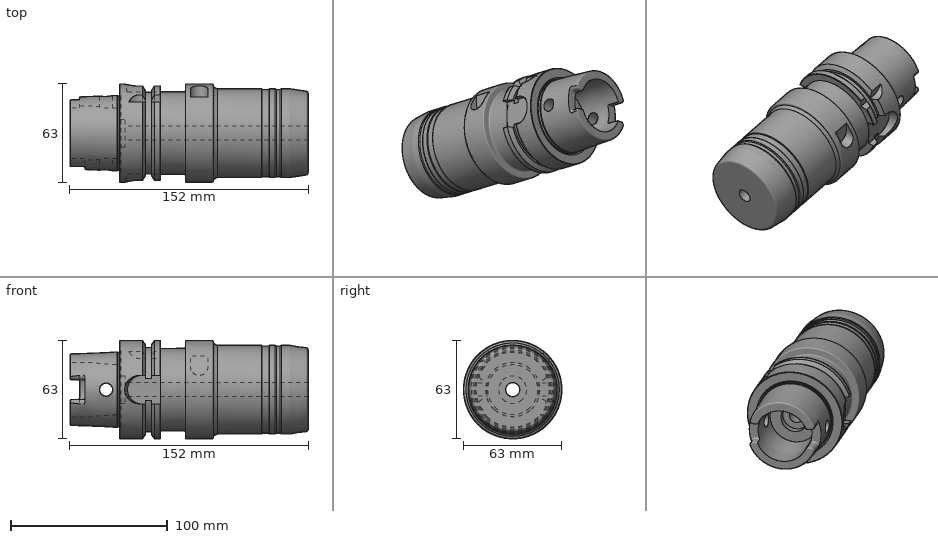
import cadquery as cq
import math

LENGTH = 152.0

SHANK_REAR_RADIUS = 23.0
SHANK_FRONT_RADIUS = 24.2
SHANK_END = 29.8
REAR_ROUNDING = 0.9
NECK_RADIUS = 23.9
NECK_SLOPE_LENGTH = 0.9
FACE_RECESS_INNER_RADIUS = 24.5
FACE_RECESS_OUTER_RADIUS = 25.4
FACE_RECESS_DEPTH = 0.8

FLANGE_RADIUS = 31.5
FLANGE_START = 31.6
FLANGE_END = 57.8
FLANGE_BREAK = 0.3
GROOVE_START = 48.2
GROOVE_END = 51.8
GROOVE_RADIUS = 27.0
GROOVE_BEVEL = 2.0
GROOVE_WALL_RADIUS = 28.5

WAIST_RADIUS = 26.5
WAIST_FILLET = 0.8
COLLAR_START = 73.5
COLLAR_END = 91.7
COLLAR_REAR_ROUNDING = 0.8
COLLAR_FRONT_ROUNDING = 1.4
COLLAR_STEP_RADIUS = 29.8
COLLAR_STEP_LENGTH = 0.9
NOSE_FILLET_RADIUS = 29.0
NOSE_FILLET_LENGTH = 1.4
NOSE_RADIUS = 28.5
NOSE_GROOVE_DEPTH = 0.5
NOSE_GROOVES = [(122.2, 127.2, 0.3), (130.9, 134.8, 0.8)]
NOSE_TAPER_START = 140.1
NOSE_END_RADIUS = 26.9
NOSE_ROUNDING = 1.8

BORE_RADIUS = 17.3
BORE_STRAIGHT_LENGTH = 12.6
BORE_BOTTOM_RADIUS = 16.0
BORE_DEPTH = 30.4
COUNTERBORE_RADIUS = 8.8
COUNTERBORE_DEPTH = 4.5
THROUGH_RADIUS = 4.4
CROSS_HOLE_X = 23.0
CROSS_HOLE_RADIUS = 4.1

SLOT_HALF_WIDTH = 6.2
SLOT_LIP_RADIUS = 2.5
SLOT_RIM_RADIUS = 23.3
SLOT_FLARE_LENGTH = 6.1
SLOT_FLOOR_FILLET = 1.2
FRONT_SLOT_DEPTH = 9.5
BACK_SLOT_DEPTH = 6.1

KEYWAY_FLOOR = 26.1
KEYWAY_HALF_WIDTH = 9.1
KEYWAY_FLOOR_CENTER_X = 45.8
KEYWAY_END_LEAN = 1.8

NOTCH_CENTER_X = 44.8
NOTCH_FLOOR_Y = 19.8
NOTCH_BOTTOM_Z = 19.8
NOTCH_RADIUS = 8.0
POCKET_CENTER_X = 82.4
POCKET_FLOOR_Y = 23.1
POCKET_RADIUS = 5.6
POCKET_BOTTOM_Z = 9.1

CLEARANCE = 7.6
EDGE_REACH = 0.2
HALF_CHORD = math.sqrt(0.5)


def rounded_corner(profile, start, corner, end):
    """Add a quarter arc from start to end that is convex towards the given square corner."""
    center = (start[0] + end[0] - corner[0], start[1] + end[1] - corner[1])
    middle = tuple(c + HALF_CHORD * ((s - c) + (e - c)) for s, e, c in zip(start, end, center))
    return profile.lineTo(*start).threePointArc(middle, end)


def body():
    """Solid of revolution with all outer steps and grooves."""
    p = cq.Workplane("XY")
    p = p.lineTo(0, SHANK_REAR_RADIUS)
    recess_bottom = FLANGE_START + FACE_RECESS_DEPTH
    p = p.lineTo(SHANK_END, SHANK_FRONT_RADIUS)
    p = p.lineTo(SHANK_END + NECK_SLOPE_LENGTH, NECK_RADIUS)
    p = p.lineTo(recess_bottom, NECK_RADIUS)
    p = p.lineTo(recess_bottom, FACE_RECESS_INNER_RADIUS)
    p = p.lineTo(FLANGE_START, FACE_RECESS_OUTER_RADIUS)

    p = p.lineTo(FLANGE_START, FLANGE_RADIUS - FLANGE_BREAK)
    p = p.lineTo(FLANGE_START + FLANGE_BREAK, FLANGE_RADIUS)
    p = p.lineTo(GROOVE_START - GROOVE_BEVEL, FLANGE_RADIUS)
    p = p.lineTo(GROOVE_START, GROOVE_WALL_RADIUS)
    p = p.lineTo(GROOVE_START, GROOVE_RADIUS)
    p = p.lineTo(GROOVE_END, GROOVE_RADIUS)
    p = p.lineTo(GROOVE_END, GROOVE_WALL_RADIUS)
    p = p.lineTo(GROOVE_END + GROOVE_BEVEL, FLANGE_RADIUS)
    p = p.lineTo(FLANGE_END - FLANGE_BREAK, FLANGE_RADIUS)
    p = p.lineTo(FLANGE_END, FLANGE_RADIUS - FLANGE_BREAK)

    p = p.lineTo(FLANGE_END, WAIST_RADIUS)
    p = rounded_corner(
        p,
        (COLLAR_START - WAIST_FILLET, WAIST_RADIUS),
        (COLLAR_START, WAIST_RADIUS),
        (COLLAR_START, WAIST_RADIUS + WAIST_FILLET),
    )
    p = rounded_corner(
        p,
        (COLLAR_START, FLANGE_RADIUS - COLLAR_REAR_ROUNDING),
        (COLLAR_START, FLANGE_RADIUS),
        (COLLAR_START + COLLAR_REAR_ROUNDING, FLANGE_RADIUS),
    )
    p = rounded_corner(
        p,
        (COLLAR_END - COLLAR_FRONT_ROUNDING, FLANGE_RADIUS),
        (COLLAR_END, FLANGE_RADIUS),
        (COLLAR_END, FLANGE_RADIUS - COLLAR_FRONT_ROUNDING),
    )
    step_end = COLLAR_END + COLLAR_STEP_LENGTH
    p = p.lineTo(COLLAR_END, COLLAR_STEP_RADIUS)
    p = p.lineTo(step_end, NOSE_FILLET_RADIUS)
    p = p.lineTo(step_end + NOSE_FILLET_LENGTH, NOSE_RADIUS)

    for start, end, wall in NOSE_GROOVES:
        p = p.lineTo(start, NOSE_RADIUS)
        p = p.lineTo(start + wall, NOSE_RADIUS - NOSE_GROOVE_DEPTH)
        p = p.lineTo(end - wall, NOSE_RADIUS - NOSE_GROOVE_DEPTH)
        p = p.lineTo(end, NOSE_RADIUS)
    p = p.lineTo(NOSE_TAPER_START, NOSE_RADIUS)
    p = rounded_corner(
        p,
        (LENGTH - NOSE_ROUNDING, NOSE_END_RADIUS),
        (LENGTH, NOSE_END_RADIUS),
        (LENGTH, NOSE_END_RADIUS - NOSE_ROUNDING),
    )
    return p.lineTo(LENGTH, 0).close().revolve(360, (0, 0), (1, 0))


def bores():
    """Rear bore that tapers towards its bottom, its counterbore and the hole along the whole axis."""
    counterbore_end = BORE_DEPTH + COUNTERBORE_DEPTH
    outline = [
        (-CLEARANCE, 0),
        (-CLEARANCE, BORE_RADIUS),
        (BORE_STRAIGHT_LENGTH, BORE_RADIUS),
        (BORE_DEPTH, BORE_BOTTOM_RADIUS),
        (BORE_DEPTH, COUNTERBORE_RADIUS),
        (counterbore_end, COUNTERBORE_RADIUS),
        (counterbore_end, THROUGH_RADIUS),
        (LENGTH + CLEARANCE, THROUGH_RADIUS),
        (LENGTH + CLEARANCE, 0),
    ]
    return cq.Workplane("XY").polyline(outline).close().revolve(360, (0, 0), (1, 0))


def cross_hole():
    """Round hole across the shank along Y."""
    hole = cq.Workplane("XZ").center(CROSS_HOLE_X, 0).circle(CROSS_HOLE_RADIUS)
    return hole.extrude(SHANK_FRONT_RADIUS + CLEARANCE, both=True)


def drive_slot(side, depth):
    """Slot through the shank wall towards side * Y, with rounded lips and a filleted floor."""
    lip_center_z = SLOT_HALF_WIDTH + SLOT_LIP_RADIUS
    lip_center_distance = SLOT_RIM_RADIUS - SLOT_LIP_RADIUS
    lip_center_y = math.sqrt(lip_center_distance**2 - lip_center_z**2)
    rim_angle = math.atan2(lip_center_z, lip_center_y)
    middle_angle = (rim_angle - math.pi / 2) / 2
    rim_y = SLOT_RIM_RADIUS * math.cos(rim_angle)
    rim_z = SLOT_RIM_RADIUS * math.sin(rim_angle)
    middle_y = lip_center_y + SLOT_LIP_RADIUS * math.cos(middle_angle)
    middle_z = lip_center_z + SLOT_LIP_RADIUS * math.sin(middle_angle)
    flare_y = rim_y - SLOT_FLARE_LENGTH * math.sin(rim_angle)
    flare_z = rim_z + SLOT_FLARE_LENGTH * math.cos(rim_angle)
    outer_y = SHANK_FRONT_RADIUS + CLEARANCE

    slot = (
        cq.Workplane("YZ", origin=(-CLEARANCE, 0, 0))
        .moveTo(0, -SLOT_HALF_WIDTH)
        .lineTo(side * lip_center_y, -SLOT_HALF_WIDTH)
        .threePointArc((side * middle_y, -middle_z), (side * rim_y, -rim_z))
        .lineTo(side * flare_y, -flare_z)
        .lineTo(side * outer_y, -flare_z)
        .lineTo(side * outer_y, flare_z)
        .lineTo(side * flare_y, flare_z)
        .lineTo(side * rim_y, rim_z)
        .threePointArc((side * middle_y, middle_z), (side * lip_center_y, SLOT_HALF_WIDTH))
        .lineTo(0, SLOT_HALF_WIDTH)
        .close()
        .extrude(CLEARANCE + depth)
    )
    floor_sides = cq.selectors.BoxSelector(
        (depth - EDGE_REACH, side * EDGE_REACH, EDGE_REACH - flare_z),
        (depth + EDGE_REACH, side * (outer_y - EDGE_REACH), flare_z - EDGE_REACH),
    )
    return slot.edges(floor_sides).fillet(SLOT_FLOOR_FILLET)


def keyway(side):
    """Flat-floored keyway on side * Y, open to the waist, whose round end leans outwards."""
    height = FLANGE_RADIUS + CLEARANCE - KEYWAY_FLOOR
    lean = KEYWAY_END_LEAN * height / (FLANGE_RADIUS - KEYWAY_FLOOR)
    outline = (
        cq.Workplane("XZ", origin=(0, side * KEYWAY_FLOOR, 0))
        .moveTo(KEYWAY_FLOOR_CENTER_X, -KEYWAY_HALF_WIDTH)
        .threePointArc(
            (KEYWAY_FLOOR_CENTER_X - KEYWAY_HALF_WIDTH, 0),
            (KEYWAY_FLOOR_CENTER_X, KEYWAY_HALF_WIDTH),
        )
        .lineTo(COLLAR_START, KEYWAY_HALF_WIDTH)
        .lineTo(COLLAR_START, -KEYWAY_HALF_WIDTH)
        .close()
    )
    leaning = cq.Solid.extrudeLinear(outline.val(), [], cq.Vector(-lean, side * height, 0))
    keep = cq.Workplane("XY").box(
        FLANGE_END, 4 * FLANGE_RADIUS, 4 * FLANGE_RADIUS, centered=(False, True, True)
    )
    return cq.Workplane(leaning).intersect(keep)


def orientation_notch():
    """Notch at 45 degrees above +Y: round at the rear, open at the front of the flange."""
    center_z = NOTCH_BOTTOM_Z + NOTCH_RADIUS
    cutter = (
        cq.Workplane("XZ", origin=(0, NOTCH_FLOOR_Y, 0))
        .moveTo(FLANGE_END, NOTCH_BOTTOM_Z)
        .lineTo(NOTCH_CENTER_X, NOTCH_BOTTOM_Z)
        .threePointArc(
            (NOTCH_CENTER_X - HALF_CHORD * NOTCH_RADIUS, center_z - HALF_CHORD * NOTCH_RADIUS),
            (NOTCH_CENTER_X - NOTCH_RADIUS, center_z),
        )
        .lineTo(NOTCH_CENTER_X - NOTCH_RADIUS, FLANGE_RADIUS)
        .lineTo(FLANGE_END, FLANGE_RADIUS)
        .close()
    )
    return cutter.extrude(-FLANGE_RADIUS)


def screw_pocket():
    """Pocket in the collar above +Y, with a half-round bottom and open at the top."""
    center_z = POCKET_BOTTOM_Z + POCKET_RADIUS
    cutter = (
        cq.Workplane("XZ", origin=(0, POCKET_FLOOR_Y, 0))
        .moveTo(POCKET_CENTER_X - POCKET_RADIUS, FLANGE_RADIUS)
        .lineTo(POCKET_CENTER_X - POCKET_RADIUS, center_z)
        .threePointArc(
            (POCKET_CENTER_X, POCKET_BOTTOM_Z),
            (POCKET_CENTER_X + POCKET_RADIUS, center_z),
        )
        .lineTo(POCKET_CENTER_X + POCKET_RADIUS, FLANGE_RADIUS)
        .close()
    )
    return cutter.extrude(-FLANGE_RADIUS)


result = body().cut(drive_slot(-1, FRONT_SLOT_DEPTH)).cut(drive_slot(1, BACK_SLOT_DEPTH))
result = result.faces("<X").edges().fillet(REAR_ROUNDING)
result = result.cut(bores()).cut(cross_hole())
for side in (-1, 1):
    result = result.cut(keyway(side))
result = result.cut(orientation_notch()).cut(screw_pocket())